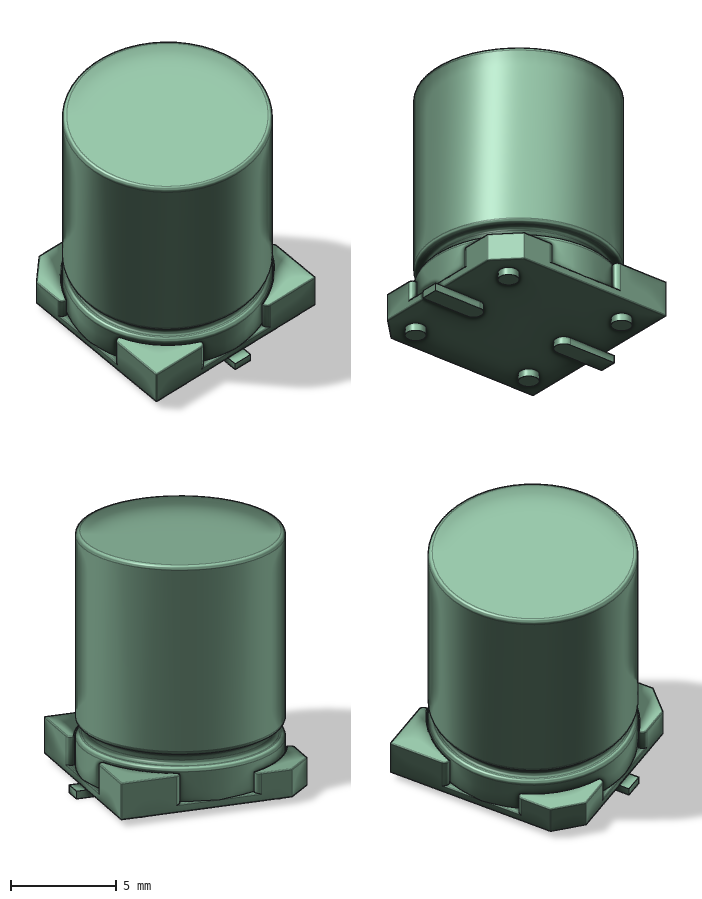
import cadquery as cq

TOTAL_HEIGHT = 12.7
SPAN = 11.0
CAN_DIAMETER = 10.0
BASE_SIDE = CAN_DIAMETER

STANDOFF = 0.4
FLOOR_LEVEL = 0.8
LOW_POST_LEVEL = 1.83
HIGH_POST_LEVEL = 2.26

CAN_ROUND = 0.2
CRIMP_DIAMETER = 9.0
CRIMP_BOTTOM = 2.5
CRIMP_WIDTH = 0.62

CORNER_BEVEL = 1.25
POST_GAP = 3.84
POST_ROUND = 0.25
CAN_CLEARANCE = 0.05
EDGE_ROUND = 0.05

FOOT_DIAMETER = 1.0
FOOT_OFFSET = 3.48
LEAD_WIDTH = 0.97
LEAD_INNER_END = 2.3


def make_can():
    """Revolved can with a rounded rim and a rounded crimp groove."""
    radius = CAN_DIAMETER / 2
    can_bottom = FLOOR_LEVEL - EDGE_ROUND
    crimp_radius = CRIMP_DIAMETER / 2
    crimp_top = CRIMP_BOTTOM + CRIMP_WIDTH
    profile = (
        cq.Workplane("XZ")
        .moveTo(0, can_bottom)
        .lineTo(radius, can_bottom)
        .lineTo(radius, CRIMP_BOTTOM - CAN_ROUND)
        .radiusArc((radius - CAN_ROUND, CRIMP_BOTTOM), -CAN_ROUND)
        .lineTo(crimp_radius + CAN_ROUND, CRIMP_BOTTOM)
        .radiusArc((crimp_radius, CRIMP_BOTTOM + CAN_ROUND), CAN_ROUND)
        .lineTo(crimp_radius, crimp_top - CAN_ROUND)
        .radiusArc((crimp_radius + CAN_ROUND, crimp_top), CAN_ROUND)
        .lineTo(radius - CAN_ROUND, crimp_top)
        .radiusArc((radius, crimp_top + CAN_ROUND), -CAN_ROUND)
        .lineTo(radius, TOTAL_HEIGHT - CAN_ROUND)
        .radiusArc((radius - CAN_ROUND, TOTAL_HEIGHT), -CAN_ROUND)
        .lineTo(0, TOTAL_HEIGHT)
        .close()
    )
    return profile.revolve(360, (0, 0, 0), (0, 1, 0))


def upright_edge_near(x, y):
    """Selector for the vertical base edge at a given place in plan."""
    reach = 0.01
    return cq.selectors.BoxSelector(
        (x - reach, y - reach, STANDOFF),
        (x + reach, y + reach, HIGH_POST_LEVEL),
    )


def flat_faces_at(level):
    """Selector for the base faces centred on a given height."""
    reach = 0.01
    return cq.selectors.BoxSelector(
        (-BASE_SIDE, -BASE_SIDE, level - reach),
        (BASE_SIDE, BASE_SIDE, level + reach),
    )


def make_base_block():
    """Square base with two bevelled corners and four posts around the can seat."""
    post_height = HIGH_POST_LEVEL - FLOOR_LEVEL
    block = (
        cq.Workplane("XY")
        .workplane(offset=STANDOFF)
        .rect(BASE_SIDE, BASE_SIDE)
        .extrude(HIGH_POST_LEVEL - STANDOFF)
        .edges("|Z and <X")
        .chamfer(CORNER_BEVEL)
    )

    floor = cq.Workplane("XY").workplane(offset=FLOOR_LEVEL)
    seat = floor.circle(CAN_DIAMETER / 2 + CAN_CLEARANCE).extrude(post_height)
    gap_along_x = floor.rect(BASE_SIDE, POST_GAP).extrude(post_height)
    gap_along_y = floor.rect(POST_GAP, BASE_SIDE).extrude(post_height)

    above_low_posts = (
        cq.Workplane("XY")
        .workplane(offset=LOW_POST_LEVEL)
        .center(-BASE_SIDE / 2, 0)
        .rect(BASE_SIDE, BASE_SIDE)
        .extrude(HIGH_POST_LEVEL - LOW_POST_LEVEL)
    )
    return block.cut(seat).cut(gap_along_x).cut(gap_along_y).cut(above_low_posts)


def make_base():
    """Base block with rounded post ends and softened outer edges."""
    base = make_base_block()
    half_side = BASE_SIDE / 2
    half_gap = POST_GAP / 2
    bevel_start = half_side - CORNER_BEVEL

    for sign_x in (-1, 1):
        for sign_y in (-1, 1):
            for x, y in ((half_gap, half_side), (half_side, half_gap)):
                post_end = upright_edge_near(sign_x * x, sign_y * y)
                base = base.edges("|Z").edges(post_end).fillet(POST_ROUND)

    for x, y in ((half_side, half_side), (-bevel_start, half_side), (-half_side, bevel_start)):
        for sign_y in (-1, 1):
            corner = upright_edge_near(x, sign_y * y)
            base = base.edges("|Z").edges(corner).fillet(EDGE_ROUND)

    base = base.faces("<Z").edges().fillet(EDGE_ROUND)
    for level in (LOW_POST_LEVEL, HIGH_POST_LEVEL):
        base = base.faces(flat_faces_at(level)).edges().fillet(EDGE_ROUND)

    for x, y in ((half_side, 0), (-half_side, 0), (0, half_side), (0, -half_side)):
        floor_edge = cq.selectors.NearestToPointSelector((x, y, FLOOR_LEVEL))
        base = base.edges(floor_edge).fillet(EDGE_ROUND)
    return base


def make_leads():
    """Two flat leads leaving along X, each with a rounded inner end."""
    round_start = LEAD_INNER_END + LEAD_WIDTH / 2
    lead = (
        cq.Workplane("XY")
        .moveTo(SPAN / 2, -LEAD_WIDTH / 2)
        .lineTo(SPAN / 2, LEAD_WIDTH / 2)
        .lineTo(round_start, LEAD_WIDTH / 2)
        .threePointArc((LEAD_INNER_END, 0), (round_start, -LEAD_WIDTH / 2))
        .close()
        .extrude(STANDOFF)
    )
    return lead.union(lead.mirror("YZ"))


def make_feet():
    """Four round feet under the corners of the base."""
    return (
        cq.Workplane("XY")
        .rect(2 * FOOT_OFFSET, 2 * FOOT_OFFSET, forConstruction=True)
        .vertices()
        .circle(FOOT_DIAMETER / 2)
        .extrude(STANDOFF)
    )


result = make_base().union(make_can()).union(make_leads()).union(make_feet())